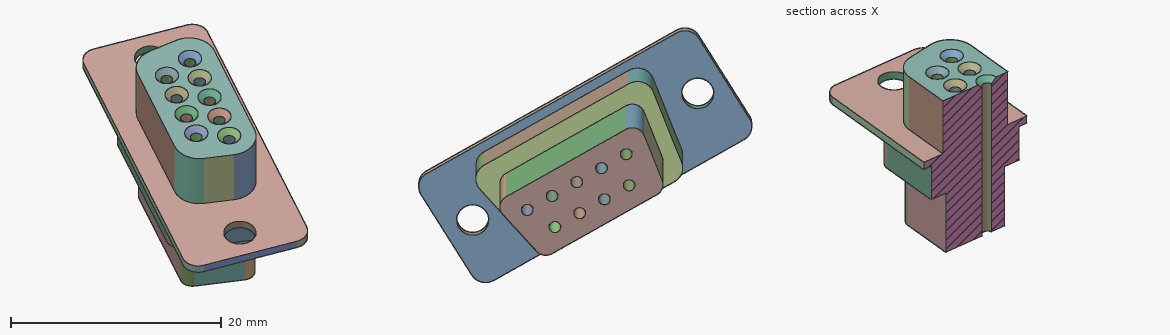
import cadquery as cq
import math

flange_length = 30.8
flange_width = 12.55
flange_thickness = 0.85
flange_corner_radius = 1.55
mount_hole_diameter = 3.05
mount_hole_spacing = 24.95

side_angle = math.radians(10.0)

shell_width = 17.3
shell_depth = 7.92
shell_radius = 2.53
shell_height = 6.1

collar_width = 19.87
collar_depth = 10.72
collar_radius = 1.6
collar_height = 3.88

tail_width = 16.15
tail_depth = 7.18
tail_radius = 1.2
tail_height = 6.85

contact_pitch = 2.75
contact_offset_x = 0.1
row_spacing = 2.83
upper_row_count = 5
lower_row_count = 4
contact_diameter = 1.1
lead_in_diameter = 2.22
lead_in_depth = (lead_in_diameter - contact_diameter) / 2

shell_top = flange_thickness + shell_height
tail_bottom = -(collar_height + tail_height)


def d_body(width, depth, radius, bottom, height):
    """Prism with a rounded trapezoid outline, wide edge at +Y."""
    half_wide = width / 2
    half_narrow = half_wide - depth * math.tan(side_angle)
    half_depth = depth / 2
    corners = [
        (-half_wide, half_depth),
        (half_wide, half_depth),
        (half_narrow, -half_depth),
        (-half_narrow, -half_depth),
    ]
    prism = cq.Workplane("XY").workplane(offset=bottom).polyline(corners).close().extrude(height)
    return prism.edges("|Z").fillet(radius)


def contact_row(count, y):
    """Evenly spaced hole centres, centred on the contact field."""
    return [((i - (count - 1) / 2) * contact_pitch + contact_offset_x, y) for i in range(count)]


def mounting_flange():
    plate = cq.Workplane("XY").box(
        flange_length, flange_width, flange_thickness, centered=(True, True, False)
    )
    plate = plate.edges("|Z").fillet(flange_corner_radius)
    hole_centres = [(-mount_hole_spacing / 2, 0), (mount_hole_spacing / 2, 0)]
    return plate.faces(">Z").workplane().pushPoints(hole_centres).hole(mount_hole_diameter)


def contact_cutter():
    """Through hole with its conical mouth, axis at X = Y = 0, as a solid of revolution."""
    profile = [
        (0, tail_bottom),
        (contact_diameter / 2, tail_bottom),
        (contact_diameter / 2, shell_top - lead_in_depth),
        (lead_in_diameter / 2, shell_top),
        (0, shell_top),
    ]
    return cq.Workplane("XZ").polyline(profile).close().revolve(360, (0, 0), (0, 1))


shell = d_body(shell_width, shell_depth, shell_radius, flange_thickness, shell_height)
collar = d_body(collar_width, collar_depth, collar_radius, -collar_height, collar_height)
tail = d_body(tail_width, tail_depth, tail_radius, tail_bottom, tail_height)

result = mounting_flange().union(shell).union(collar).union(tail)

contact_centres = contact_row(upper_row_count, row_spacing / 2)
contact_centres += contact_row(lower_row_count, -row_spacing / 2)
cutter = contact_cutter()
for x, y in contact_centres:
    result = result.cut(cutter.translate((x, y, 0)))